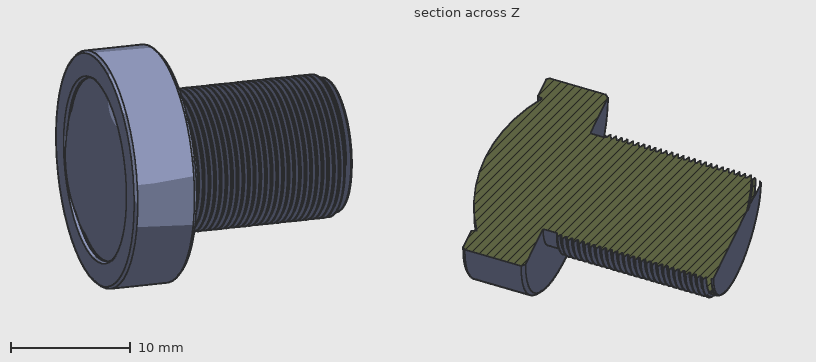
import cadquery as cq
import math


total_length = 22.48

tip_end_radius = 5.6
tip_chamfer_length = 0.13
neck_radius = tip_end_radius
flange_rear = 15.2

thread_start = 0.55
thread_end = 13.94
turns_in_thread = 26.8
thread_pitch = (thread_end - thread_start) / turns_in_thread
root_radius = 5.69
crest_radius = 6.02
ridge_base_width = 0.4
ridge_crest_width = 0.07
ridge_embed = 0.07
thread_lead_height = 0.07
trim_clearance = 0.22
thread_phase = 0.34

flange_radius = 10.0
flange_front = 20.75
rear_chamfer = 0.3
front_chamfer_radial = 0.2
front_chamfer_axial = 0.25

lens_radius = 7.7
seat_chamfer_radial = 0.15
seat_chamfer_axial = 0.27
dome_radius = 14.84


def dome_height(radius):
    """Height of the spherical lens surface at a distance from the axis."""
    return total_length - dome_radius + math.sqrt(dome_radius**2 - radius**2)


def make_body():
    """Solid of revolution: barrel, neck, flange, seat and lens dome."""
    mid_radius = lens_radius / 2
    return (
        cq.Workplane("XZ")
        .moveTo(0, 0)
        .lineTo(tip_end_radius, 0)
        .lineTo(root_radius, tip_chamfer_length)
        .lineTo(root_radius, thread_end)
        .lineTo(neck_radius, thread_end)
        .lineTo(neck_radius, flange_rear)
        .lineTo(flange_radius - rear_chamfer, flange_rear)
        .lineTo(flange_radius, flange_rear + rear_chamfer)
        .lineTo(flange_radius, flange_front - front_chamfer_axial)
        .lineTo(flange_radius - front_chamfer_radial, flange_front)
        .lineTo(lens_radius + seat_chamfer_radial, flange_front)
        .lineTo(lens_radius, flange_front - seat_chamfer_axial)
        .lineTo(lens_radius, dome_height(lens_radius))
        .threePointArc((mid_radius, dome_height(mid_radius)), (0, total_length))
        .close()
        .revolve(360, (0, 0, 0), (0, 1, 0))
    )


def make_thread_envelope():
    """Sleeve that trims the ridge to the thread length, bevelled at both ends."""
    inner_radius = root_radius - 2 * ridge_embed
    outer_radius = crest_radius + trim_clearance
    end_radius = root_radius + thread_lead_height
    bevel = outer_radius - end_radius
    return (
        cq.Workplane("XZ")
        .moveTo(inner_radius, thread_start)
        .lineTo(end_radius, thread_start)
        .lineTo(outer_radius, thread_start + bevel)
        .lineTo(outer_radius, thread_end - bevel)
        .lineTo(end_radius, thread_end)
        .lineTo(inner_radius, thread_end)
        .close()
        .revolve(360, (0, 0, 0), (0, 1, 0))
    )


def make_thread():
    """Right-handed helical ridge, overrunning both ends before it is trimmed."""
    helix_start = thread_phase - thread_pitch
    turns = math.ceil((thread_end - helix_start) / thread_pitch) + 1
    helix = cq.Wire.makeHelix(thread_pitch, turns * thread_pitch, root_radius)
    flank_run = (ridge_base_width - ridge_crest_width) / 2
    flank_slope = flank_run / (crest_radius - root_radius)
    half_foot = ridge_base_width / 2 + ridge_embed * flank_slope
    half_crest = ridge_crest_width / 2
    foot_radius = root_radius - ridge_embed
    ridge = (
        cq.Workplane("XZ")
        .moveTo(foot_radius, -half_foot)
        .lineTo(crest_radius, -half_crest)
        .lineTo(crest_radius, half_crest)
        .lineTo(foot_radius, half_foot)
        .close()
        .sweep(cq.Workplane(helix), isFrenet=True)
        .translate((0, 0, helix_start))
    )
    return ridge.intersect(make_thread_envelope())


result = make_body().union(make_thread()).rotate((0, 0, 0), (1, 0, 0), 90)